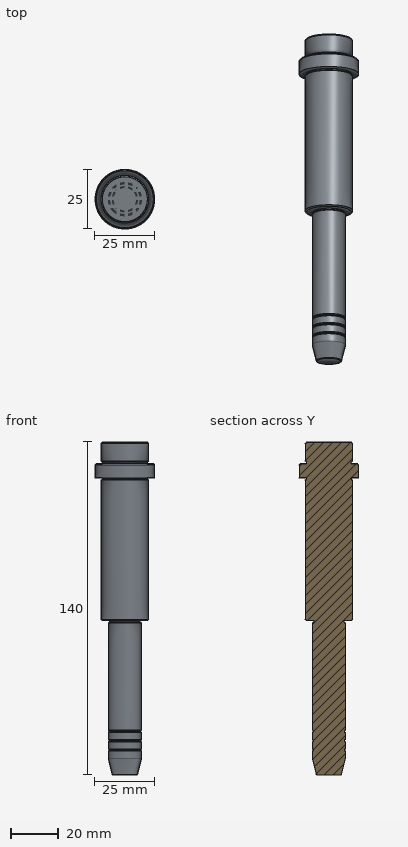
import cadquery as cq

total_length = 140.0
flange_radius = 25.0 / 2
body_radius = 20.0 / 2
shank_radius = 14.0 / 2
tip_radius = 10.5 / 2

flange_top = total_length - 9.0
flange_bottom = total_length - 15.0
body_bottom = total_length - 75.0
taper_top = 7.0

edge_chamfer = 0.5
tip_chamfer = 0.3

relief_width = 1.0
relief_depth = 0.5
relief_slope = 0.4

groove_count = 3
groove_pitch = 3.9
lowest_groove = 10.6
groove_width = 1.0
groove_depth = 0.4
groove_floor = 0.3

cutter_margin = 1.4


def cylinder(radius, bottom, top):
    return cq.Workplane("XY").workplane(offset=bottom).circle(radius).extrude(top - bottom)


def ring_cut(radius, depth, levels):
    """Ring with a trapezoidal section; levels are mouth, floor, floor and mouth heights."""
    outside = radius + cutter_margin
    floor = radius - depth
    mouth_low, floor_low, floor_high, mouth_high = levels
    section = [
        (outside, mouth_low),
        (radius, mouth_low),
        (floor, floor_low),
        (floor, floor_high),
        (radius, mouth_high),
        (outside, mouth_high),
    ]
    return cq.Workplane("XZ").polyline(section).close().revolve(360, (0, 0, 0), (0, 1, 0))


head = cylinder(body_radius, flange_top, total_length).faces(">Z").chamfer(edge_chamfer)
flange = cylinder(flange_radius, flange_bottom, flange_top).faces(">Z").chamfer(edge_chamfer)
body = cylinder(body_radius, body_bottom, flange_bottom).faces("<Z").chamfer(edge_chamfer)

shank = cylinder(shank_radius, taper_top, body_bottom)
tip = (
    cq.Workplane("XY")
    .circle(tip_radius)
    .workplane(offset=taper_top)
    .circle(shank_radius)
    .loft(ruled=True)
    .faces("<Z")
    .chamfer(tip_chamfer)
)

head_relief_top = flange_top + relief_width
head = head.cut(ring_cut(
    body_radius, relief_depth,
    (flange_top, flange_top, head_relief_top - relief_slope, head_relief_top),
))


def relief_below(radius, shoulder):
    bottom = shoulder - relief_width
    return ring_cut(radius, relief_depth, (bottom, bottom + relief_slope, shoulder, shoulder))


body = body.cut(relief_below(body_radius, flange_bottom))
shank = shank.cut(relief_below(shank_radius, body_bottom))

for index in range(groove_count):
    center = lowest_groove + index * groove_pitch
    groove = ring_cut(
        shank_radius, groove_depth,
        (center - groove_width / 2, center - groove_floor / 2,
         center + groove_floor / 2, center + groove_width / 2),
    )
    shank = shank.cut(groove)

result = head.union(flange).union(body).union(shank).union(tip)